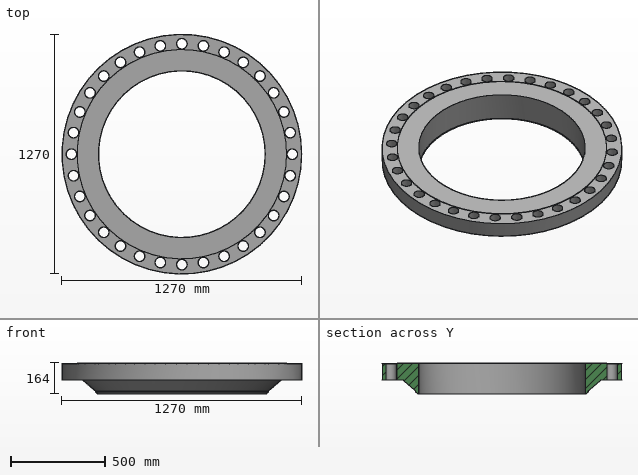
import cadquery as cq

flange_diameter = 1270.0
total_height = 164.0

bore_diameter = 881.0
face_diameter = 1109.0
face_height = 3.0
flange_thickness = 86.0

hub_diameter = 1054.0
neck_diameter = 917.0
neck_height = 17.0
bevel_width = 13.0
bevel_height = 11.0

bolt_count = 32
bolt_circle_diameter = 1170.0
bolt_hole_diameter = 55.0

face_bottom = total_height - face_height
flange_bottom = face_bottom - flange_thickness


def revolved_body():
    """Ring made by turning the half section about the Z axis."""
    bore_radius = bore_diameter / 2
    neck_radius = neck_diameter / 2
    flange_radius = flange_diameter / 2
    face_radius = face_diameter / 2
    section = [
        (bore_radius, 0),
        (neck_radius - bevel_width, 0),
        (neck_radius, bevel_height),
        (neck_radius, neck_height),
        (hub_diameter / 2, flange_bottom),
        (flange_radius, flange_bottom),
        (flange_radius, face_bottom),
        (face_radius, face_bottom),
        (face_radius, total_height),
        (bore_radius, total_height),
    ]
    return cq.Workplane("XZ").polyline(section).close().revolve(360, (0, 0), (0, 1))


def bolt_holes():
    """Through-hole cutters on the bolt circle, the first one on +X."""
    return (
        cq.Workplane("XY")
        .polarArray(bolt_circle_diameter / 2, 0, 360, bolt_count)
        .circle(bolt_hole_diameter / 2)
        .extrude(total_height)
    )


result = revolved_body().cut(bolt_holes())